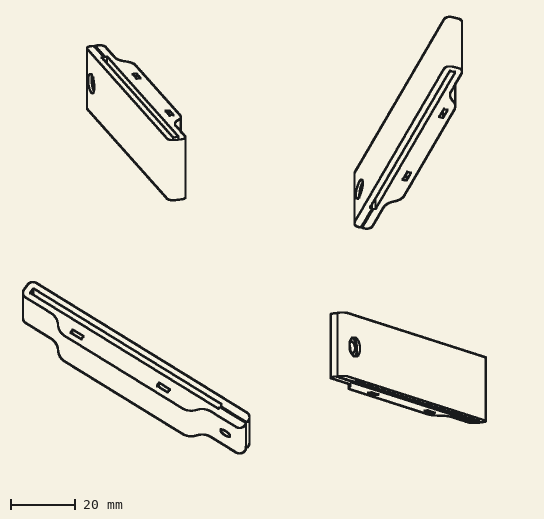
import cadquery as cq

length = 82.0
total_depth = 9.9
height = 20.0

body_depth = 5.9
corner_radius = 2.0
wall = 2.05
end_wall = 2.2

slot_start = 9.9
slot_end = length - end_wall
slot_depth = body_depth - 2 * wall
slit_depth = 0.3
lip_radius = 0.5

pad_rise = total_depth - body_depth
ramp_start = 11.3
ramp_run = 7.9

window_length = 4.0
window_depth = 1.2
window_centers_x = (28.0, 60.0)
window_center_y = 7.4

hole_x = 6.0
hole_diameter = 3.5
counterbore_diameter = 6.0
counterbore_depth = 1.1


def box(x_min, x_max, y_center, depth):
    """Full-height block spanning x_min to x_max, centred on y_center."""
    return (
        cq.Workplane("XY")
        .center((x_min + x_max) / 2, y_center)
        .rect(x_max - x_min, depth)
        .extrude(height)
    )


def make_body():
    block = box(0, length, body_depth / 2, body_depth)
    return block.edges("|Z").fillet(corner_radius)


def make_pad():
    """Pad whose ramps are each two equal arcs, tangent to the body, the pad and each other."""
    ramp_radius = (ramp_run**2 + pad_rise**2) / (4 * pad_rise)
    left = ramp_start
    right = length - ramp_start
    middle_y = body_depth + pad_rise / 2
    return (
        cq.Workplane("XY")
        .moveTo(left, body_depth - wall / 2)
        .lineTo(left, body_depth)
        .radiusArc((left + ramp_run / 2, middle_y), -ramp_radius)
        .radiusArc((left + ramp_run, total_depth), ramp_radius)
        .lineTo(right - ramp_run, total_depth)
        .radiusArc((right - ramp_run / 2, middle_y), ramp_radius)
        .radiusArc((right, body_depth), -ramp_radius)
        .lineTo(right, body_depth - wall / 2)
        .close()
        .extrude(height)
    )


def cut_gap(clip):
    """Cut the slot and the slit that opens it at the -X end, then round both ends of the slit."""
    middle_y = body_depth / 2
    slot = box(slot_start, slot_end, middle_y, slot_depth)
    slit = box(0, slot_start, middle_y, slit_depth)
    lip_zone = cq.selectors.BoxSelector(
        (-slit_depth, middle_y - slit_depth, 0),
        (slot_start + slit_depth, middle_y + slit_depth, height),
    )
    return clip.cut(slot).cut(slit).edges("|Z").edges(lip_zone).fillet(lip_radius)


def make_screw_hole():
    front = cq.Workplane("XZ").center(hole_x, height / 2)
    hole = front.circle(hole_diameter / 2).extrude(-body_depth)
    counterbore = front.circle(counterbore_diameter / 2).extrude(-counterbore_depth)
    return hole.union(counterbore)


result = cut_gap(make_body().union(make_pad())).cut(make_screw_hole())
for center_x in window_centers_x:
    half_length = window_length / 2
    window = box(center_x - half_length, center_x + half_length, window_center_y, window_depth)
    result = result.cut(window)